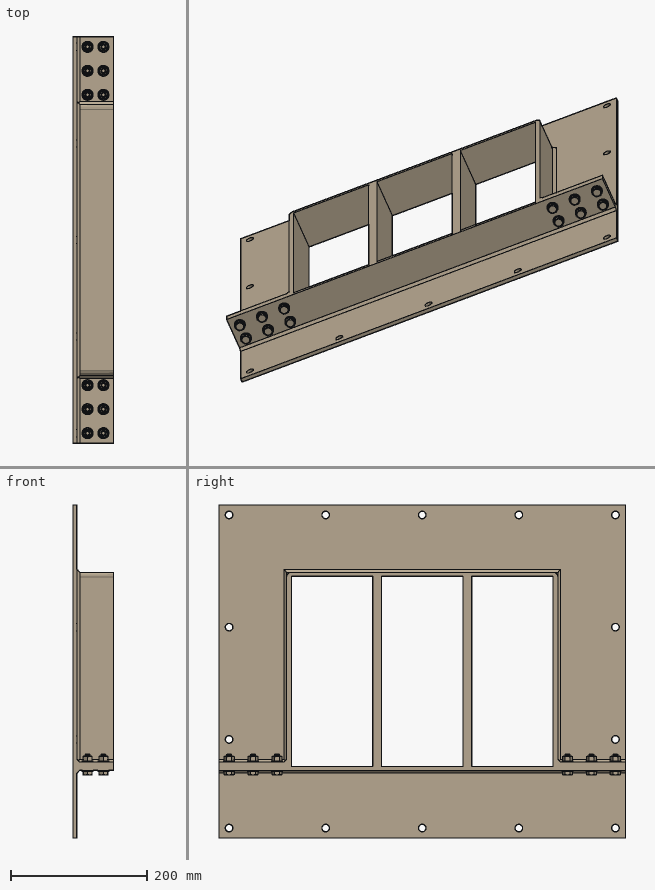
import cadquery as cq
import math

panel_width = 597.5
panel_height = 490.0
panel_thickness = 6.0
part_depth = 60.0

window_width = 398.5
window_top = 391.0
floor_level = 106.0
duct_wall = 7.0
duct_roof = 6.0
divider_thickness = 13.0
divider_count = 2

flange_thickness = 6.0
weld_leg = 4.0

panel_hole_diameter = 11.0
panel_hole_inset = 15.0
holes_per_row = 5
side_hole_pitch = 165.0

bolt_rows_x = [21.5, 45.0]
bolts_per_row = 3
bolt_pitch = 35.0
bolt_diameter = 8.0
bolt_tip_chamfer = 1.0
bolt_protrusion = 12.0
washer_diameter = 16.0
washer_thickness = 2.0
hex_across_flats = 13.0
hex_face_diameter = 11.5
hex_chamfer_angle = 30
nut_height = 7.0
head_height = 5.5

duct_height = window_top - floor_level
flange_top = floor_level + flange_thickness
flange_bottom = floor_level - flange_thickness
side_flange_width = (panel_width - window_width) / 2
hex_across_corners = hex_across_flats / math.cos(math.radians(30))
hex_chamfer_width = (hex_across_corners - hex_face_diameter) / 2
hex_chamfer_height = hex_chamfer_width * math.tan(math.radians(hex_chamfer_angle))
bay_width = (window_width - 2 * duct_wall - divider_count * divider_thickness) / (divider_count + 1)


def block(x0, x1, y0, y1, z0, z1):
    """Rectangular block between opposite corners."""
    return cq.Workplane("XY").box(x1 - x0, y1 - y0, z1 - z0, centered=False).translate((x0, y0, z0))


def make_panel():
    """Mounting panel with its window and the screw holes around its rim."""
    panel = block(0, panel_thickness, -panel_width / 2, panel_width / 2, 0, panel_height)
    window = block(0, panel_thickness, -window_width / 2, window_width / 2, floor_level, window_top)

    outer_y = panel_width / 2 - panel_hole_inset
    column_pitch = 2 * outer_y / (holes_per_row - 1)
    top_row = panel_height - panel_hole_inset
    points = []
    for column in range(holes_per_row):
        y = -outer_y + column * column_pitch
        points += [(y, panel_hole_inset), (y, top_row)]
    for step in (1, 2):
        z = top_row - step * side_hole_pitch
        points += [(-outer_y, z), (outer_y, z)]
    holes = cq.Workplane("YZ").pushPoints(points).circle(panel_hole_diameter / 2).extrude(panel_thickness)
    return panel.cut(window).cut(holes)


def make_duct():
    """Open-ended duct with rounded upper corners, split into equal bays by dividers."""
    duct = block(0, part_depth, -window_width / 2, window_width / 2, floor_level, window_top)
    duct = duct.edges("|X and >Z").fillet(duct_wall)
    bay_start = -window_width / 2 + duct_wall
    for _ in range(divider_count + 1):
        bay_end = bay_start + bay_width
        duct = duct.cut(block(0, part_depth, bay_start, bay_end, floor_level, window_top - duct_roof))
        bay_start = bay_end + divider_thickness
    return duct


def make_duct_weld():
    """Bevelled weld bead running around the duct on the back of the panel."""
    bead = (
        cq.Workplane("YZ", origin=(panel_thickness, 0, 0))
        .center(0, floor_level + duct_height / 2)
        .rect(window_width + 2 * weld_leg, duct_height + 2 * weld_leg)
        .extrude(weld_leg, taper=45)
    )
    inside = block(0, part_depth, -window_width / 2, window_width / 2, 0, window_top)
    inside = inside.edges("|X and >Z").fillet(duct_wall)
    below_floor = block(0, part_depth, -panel_width / 2, panel_width / 2, 0, floor_level)
    return bead.cut(inside).cut(below_floor)


def make_flanges():
    """Full-width lower flange, mirrored upper flanges beside the duct, and their weld beads."""
    half_width = panel_width / 2
    lower = block(panel_thickness, part_depth, -half_width, half_width, flange_bottom, floor_level)
    lower_bead = (
        cq.Workplane("XZ", origin=(0, half_width, 0))
        .moveTo(panel_thickness, flange_bottom)
        .line(weld_leg, 0)
        .line(-weld_leg, -weld_leg)
        .close()
        .extrude(panel_width)
    )

    wall_y = window_width / 2
    upper = block(panel_thickness, part_depth, wall_y, half_width, floor_level, flange_top)
    panel_bead = (
        cq.Workplane("XZ", origin=(0, half_width, 0))
        .moveTo(panel_thickness, flange_top)
        .line(weld_leg, 0)
        .line(-weld_leg, weld_leg)
        .close()
        .extrude(side_flange_width)
    )
    wall_bead = (
        cq.Workplane("YZ", origin=(panel_thickness, 0, 0))
        .moveTo(wall_y, flange_top)
        .line(weld_leg, 0)
        .line(-weld_leg, weld_leg)
        .close()
        .extrude(part_depth - panel_thickness)
    )
    upper = upper.union(panel_bead).union(wall_bead)
    return lower.union(lower_bead).union(upper).union(upper.mirror("XZ"))


def disc(diameter, bottom_z, height):
    """Upright cylinder centred on the Z axis."""
    return cq.Workplane("XY", origin=(0, 0, bottom_z)).circle(diameter / 2).extrude(height)


def hexagon(bottom_z, height, chamfered_face):
    """Hexagonal head or nut with corners along Y and a conical chamfer on one face."""
    prism = cq.Workplane("XY", origin=(0, 0, bottom_z)).polygon(6, hex_across_corners).extrude(height)
    prism = prism.rotate((0, 0, 0), (0, 0, 1), 90)
    envelope = disc(hex_across_corners, bottom_z, height)
    envelope = envelope.faces(chamfered_face).chamfer(hex_chamfer_height, hex_chamfer_width)
    return prism.intersect(envelope)


def make_bolt():
    """Bolt through both flanges, with head, nut and two washers."""
    head_top = flange_bottom - washer_thickness
    head_bottom = head_top - head_height
    shank = disc(bolt_diameter, head_bottom, flange_top + bolt_protrusion - head_bottom)
    shank = shank.faces(">Z").chamfer(bolt_tip_chamfer)
    lower_washer = disc(washer_diameter, head_top, washer_thickness)
    upper_washer = disc(washer_diameter, flange_top, washer_thickness)
    head = hexagon(head_bottom, head_height, "<Z")
    nut = hexagon(flange_top + washer_thickness, nut_height, ">Z")
    return shank.union(lower_washer).union(upper_washer).union(head).union(nut)


result = make_panel().union(make_duct()).union(make_duct_weld()).union(make_flanges())

bolt = make_bolt()
outer_bolt_y = panel_width / 2 - panel_hole_inset
for bolt_x in bolt_rows_x:
    for index in range(bolts_per_row):
        bolt_y = outer_bolt_y - index * bolt_pitch
        for side in (-1, 1):
            result = result.union(bolt.translate((bolt_x, side * bolt_y, 0)))